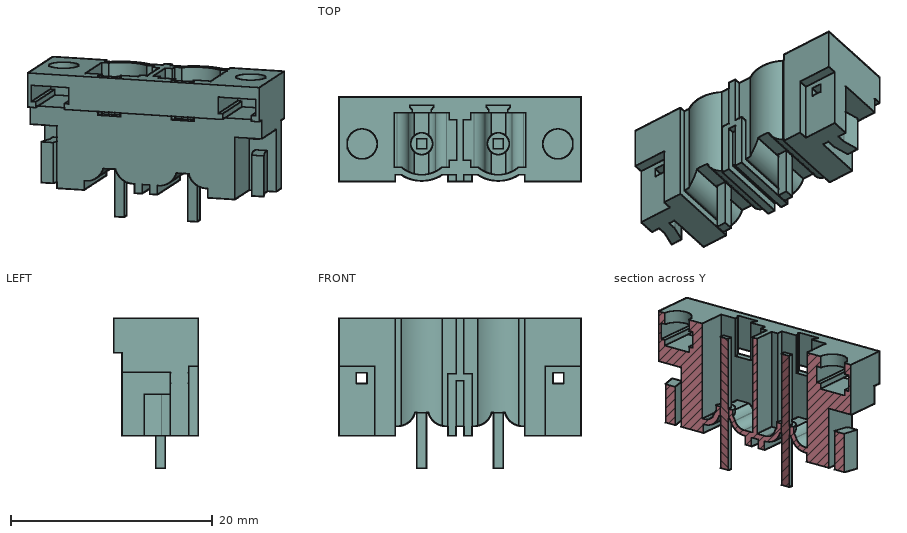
import cadquery as cq
import math


length = 24.1
depth = 8.4
height = 11.71
lower_depth = 7.6
overhang_z = 8.25

pole_pitch = 7.62
pole_y = 3.75
pin_side = 1.0
pin_top_z = 10.82
pin_bottom_z = -3.23

shroud_half_length = 6.43
wall_front_y = 0.65
bulge_outer_radius = 3.7
bulge_inner_radius = 3.08

socket_inner_x = 1.05
socket_outer_x = 6.53
socket_front_y = 1.4
socket_rear_y = 6.82
notch_inner_x = 0.31
notch_front_y = 2.1
notch_rear_y = 6.12

floor_low_z = 1.57
crest_radius = 1.45
valley_edge = 2.45
inflection = 1.35
plateau_edge = 0.72
boss_radius = 1.08
boss_top_z = 3.37

underside_z = 0.95
arch_top_z = 2.31
lobe_radius = 1.88

dovetail_half_width = 1.18
dovetail_neck_half_width = 0.96
dovetail_flank_rear_y = 7.4
dovetail_flank_front_y = 7.13
dovetail_floor_z = 7.69

rib_width = 0.8
fork_half_width = 1.2
fork_top_z = 6.2
fork_slot_top_z = 5.47

corner_length = 3.6
corner_depth = 0.96
corner_z = 6.92
hole_x = 9.74
hole_y = 3.74
hole_radius = 1.5
hole_depth = 1.23
nut_half_width = 1.95
nut_slot_front_y = 1.93
nut_ledge_depth = 2.9
recess_front_y = 2.77
recess_top_z = 6.35
recess_length = 2.8
window_side = 1.04
window_bottom_z = 5.23

latch_height = 4.15
latch_thickness = 1.25
latch_root_inset = 0.9
latch_tip_inset = 0.45
latch_bend_y = 3.66
latch_tip_y = 5.4

SIDES = (-1, 1)


def box(x0, x1, y0, y1, z0, z1):
    """Axis-aligned block between two corners, with X limits in either order."""
    left = min(x0, x1)
    return cq.Workplane("XY").box(abs(x1 - x0), y1 - y0, z1 - z0, centered=False).translate((left, y0, z0))


def upright_cylinder(x, y, radius, z0, z1):
    return cq.Workplane("XY").circle(radius).extrude(z1 - z0).translate((x, y, z0))


def pole_x(side):
    return side * pole_pitch / 2


def make_shell():
    """Solid block with the rear step and the set-back, bulged front wall."""
    shell = box(-length / 2, length / 2, 0, depth, 0, height)
    shell = shell.cut(box(-length / 2, length / 2, lower_depth, depth, 0, overhang_z))
    shell = shell.cut(box(-shroud_half_length, shroud_half_length, 0, wall_front_y, 0, height))
    for side in SIDES:
        shell = shell.union(upright_cylinder(pole_x(side), pole_y, bulge_outer_radius, 0, height)
                            .intersect(box(-shroud_half_length, shroud_half_length, 0, pole_y, 0, height)))
    return shell


def make_rib():
    """Central rib on the front wall that forks into two legs."""
    rib = box(-rib_width / 2, rib_width / 2, 0, wall_front_y, fork_slot_top_z, height)
    rib = rib.union(box(-fork_half_width, fork_half_width, 0, wall_front_y, 0, fork_top_z))
    return rib.cut(box(-rib_width / 2, rib_width / 2, 0, wall_front_y, 0, fork_slot_top_z))


def make_underside_arch(side):
    """Space below one pole, between rounded lobes and under a flat crown."""
    lobe_z = underside_z + lobe_radius
    crown_angle = math.asin((lobe_z - arch_top_z) / lobe_radius)
    middle_angle = (crown_angle + math.pi / 2) / 2
    crown_half = valley_edge - lobe_radius * math.cos(crown_angle)
    middle_x = valley_edge - lobe_radius * math.cos(middle_angle)
    middle_z = lobe_z - lobe_radius * math.sin(middle_angle)
    inner = fork_half_width - pole_pitch / 2
    outer = shroud_half_length - pole_pitch / 2
    left, right = sorted((side * inner, side * outer))
    arch = (
        cq.Workplane("XZ")
        .moveTo(left, 0)
        .lineTo(left, underside_z)
        .lineTo(-valley_edge, underside_z)
        .threePointArc((-middle_x, middle_z), (-crown_half, arch_top_z))
        .lineTo(crown_half, arch_top_z)
        .threePointArc((middle_x, middle_z), (valley_edge, underside_z))
        .lineTo(right, underside_z)
        .lineTo(right, 0)
        .close()
        .extrude(-depth)
    )
    return arch.translate((pole_x(side), 0, 0))


def make_socket_space(side):
    """Open space of one socket above the lowest floor level."""
    space = box(side * socket_inner_x, side * socket_outer_x, socket_front_y, socket_rear_y,
                floor_low_z, height)
    bulge = upright_cylinder(pole_x(side), pole_y, bulge_inner_radius, floor_low_z, height)
    space = space.union(bulge.intersect(box(side * socket_inner_x, side * socket_outer_x, 0, pole_y,
                                            floor_low_z, height)))
    return space.union(box(side * notch_inner_x, side * socket_inner_x, notch_front_y, notch_rear_y,
                           floor_low_z, height))


def make_floor_rise(side):
    """Raised middle of one socket floor: mirrored S-curves up to a plateau, plus the pin boss."""
    steepest = math.asin(inflection / crest_radius)
    concave_radius = (valley_edge - inflection) / math.sin(steepest)
    concave_x = valley_edge - concave_radius * math.sin(steepest / 2)
    concave_z = floor_low_z + concave_radius * (1 - math.cos(steepest / 2))
    inflection_z = floor_low_z + concave_radius * (1 - math.cos(steepest))
    crest_centre_z = inflection_z - crest_radius * math.cos(steepest)
    plateau_z = crest_centre_z + math.sqrt(crest_radius ** 2 - plateau_edge ** 2)
    convex_x = (inflection + plateau_edge) / 2
    convex_z = crest_centre_z + math.sqrt(crest_radius ** 2 - convex_x ** 2)
    rise_body = (
        cq.Workplane("XZ")
        .moveTo(-valley_edge, floor_low_z)
        .threePointArc((-concave_x, concave_z), (-inflection, inflection_z))
        .threePointArc((-convex_x, convex_z), (-plateau_edge, plateau_z))
        .lineTo(plateau_edge, plateau_z)
        .threePointArc((convex_x, convex_z), (inflection, inflection_z))
        .threePointArc((concave_x, concave_z), (valley_edge, floor_low_z))
        .close()
        .extrude(-socket_rear_y)
        .translate((pole_x(side), 0, 0))
    )
    return rise_body.union(upright_cylinder(pole_x(side), pole_y, boss_radius, floor_low_z, boss_top_z))


def make_dovetail(side):
    """Dovetail slot behind one socket; it breaks through the rear face below the overhang."""
    return (
        cq.Workplane("XY")
        .polyline([
            (-dovetail_neck_half_width, socket_rear_y),
            (-dovetail_neck_half_width, dovetail_flank_front_y),
            (-dovetail_half_width, dovetail_flank_rear_y),
            (-dovetail_half_width, lower_depth),
            (dovetail_half_width, lower_depth),
            (dovetail_half_width, dovetail_flank_rear_y),
            (dovetail_neck_half_width, dovetail_flank_front_y),
            (dovetail_neck_half_width, socket_rear_y),
        ])
        .close()
        .extrude(height - dovetail_floor_z)
        .translate((pole_x(side), 0, dovetail_floor_z))
    )


def make_screw_space(side):
    """Screw hole in one end block, opening into a stepped nut slot from the rear."""
    x = side * hole_x
    slot_top_z = height - hole_depth
    ledge_z = height - nut_ledge_depth
    space = upright_cylinder(x, hole_y, hole_radius, slot_top_z, height)
    space = space.union(box(x - nut_half_width, x + nut_half_width, nut_slot_front_y, depth,
                            ledge_z, slot_top_z))
    return space.union(box(x - hole_radius, x + hole_radius, nut_slot_front_y, depth,
                           overhang_z, ledge_z))


def make_end_cutouts(side):
    """Front corner relief, rear end recess and the window joining them."""
    end = side * length / 2
    recess_x = end - side * recess_length
    corner = box(end, end - side * corner_length, 0, corner_depth, 0, corner_z)
    recess = box(end, recess_x, recess_front_y, lower_depth, 0, recess_top_z)
    window = box(recess_x, recess_x + side * window_side, corner_depth, recess_front_y,
                 window_bottom_z, window_bottom_z + window_side)
    return corner.union(recess).union(window)


def make_latch(side):
    """Latch arm that reaches back from the front of the end recess and bends outward."""
    root_x = length / 2 - latch_root_inset
    tip_x = length / 2 - latch_tip_inset
    outer_face = [(root_x, recess_front_y), (root_x, latch_bend_y), (tip_x, latch_tip_y)]
    inner_face = [(x - latch_thickness, y) for x, y in reversed(outer_face)]
    outline = [(side * x, y) for x, y in outer_face + inner_face]
    return cq.Workplane("XY").polyline(outline).close().extrude(latch_height)


def make_pin(side):
    """Square contact pin of one pole."""
    half = pin_side / 2
    x = pole_x(side)
    return box(x - half, x + half, pole_y - half, pole_y + half, pin_bottom_z, pin_top_z)


def make_housing():
    housing = make_shell().union(make_rib())
    housing = housing.cut(box(-rib_width / 2, rib_width / 2, 0, depth, 0, underside_z))
    for side in SIDES:
        housing = housing.cut(make_underside_arch(side))
        housing = housing.cut(make_socket_space(side).cut(make_floor_rise(side)))
        housing = housing.cut(make_dovetail(side))
        housing = housing.cut(make_screw_space(side))
        housing = housing.cut(make_end_cutouts(side))
        housing = housing.union(make_latch(side))
        housing = housing.cut(make_pin(side))
    return housing


housing = make_housing()
pins = [make_pin(side) for side in SIDES]

result = cq.Compound.makeCompound([housing.solids().val(), *[pin.val() for pin in pins]])